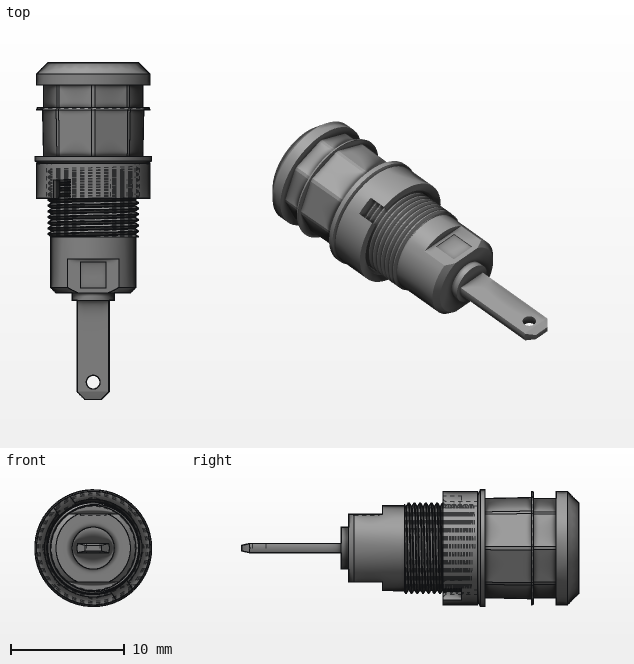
import cadquery as cq
import math


total_length = 29.7
head_length = 2.0
head_chamfer = 1.0
upper_grip_length = 2.0
ring_thickness = 0.18
ring_rim_height = 0.12
lower_grip_length = 4.1
flange_thickness = 0.42
flange_taper_length = 0.25
thread_length = 6.0
barrel_end_y = 9.41
boss_length = 0.65

head_diameter = 10.0
ring_top_diameter = 9.85
ring_recess_diameter = 9.62
flange_diameter = 10.3
flange_seat_diameter = 9.4
barrel_diameter = 7.5
thread_diameter = 8.0
boss_diameter = 3.7

grip_sides = 8
grip_across_flats = 8.2
grip_corner_diameter = 8.75
grip_taper = 0.1

thread_end_y = 14.35
thread_turns = 12
thread_base_width = 0.48
thread_crest_width = 0.05
thread_root_diameter = 7.4
thread_root_overlap = 0.03

barrel_chamfer = 0.48
flat_distance = 6.0
flat_length = 2.97
label_side = 2.25
label_depth = 0.12
label_offset = 1.57

tab_width = 2.85
tab_thickness = 0.83
tip_length = 0.7
tip_width = 1.43
tip_thickness = 0.5
tab_hole_diameter = 1.2
tab_hole_y = 1.55

nut_diameter = head_diameter
nut_length = 3.05
nut_bore_diameter = 8.2
nut_bore_chamfer = 0.2
slot_width = 1.75
slot_depth = 1.63
slot_angle = 124

head_bottom_y = total_length - head_length
ring_top_y = head_bottom_y - upper_grip_length
ring_bottom_y = ring_top_y - ring_thickness
flange_top_y = ring_bottom_y - lower_grip_length
flange_bottom_y = flange_top_y - flange_thickness
nut_top_y = flange_bottom_y - flange_taper_length
boss_end_y = barrel_end_y - boss_length


def disc(diameter, top_y, length):
    """Cylinder about the Y axis, from top_y down by length."""
    return cq.Workplane("XZ", origin=(0, top_y, 0)).circle(diameter / 2).extrude(length)


def octagon(across_flats, top_y, length, taper=0):
    """Octagonal prism about the Y axis with corners on X and Z, narrowing downwards by taper degrees."""
    plane = cq.Workplane("XZ", origin=(0, top_y, 0))
    corner_circle = across_flats / math.cos(math.pi / grip_sides)
    return plane.polygon(grip_sides, corner_circle).extrude(length, taper=taper)


def make_head():
    head = disc(head_diameter, total_length, head_length)
    return head.faces(">Y").chamfer(head_chamfer)


def make_upper_grip():
    prism = octagon(grip_across_flats, head_bottom_y, upper_grip_length)
    return prism.intersect(disc(grip_corner_diameter, head_bottom_y, upper_grip_length))


def make_lower_grip():
    top_y = ring_bottom_y + ring_rim_height
    length = top_y - flange_top_y
    taper = math.degrees(math.atan(grip_taper / length))
    wide_flats = grip_across_flats + 2 * grip_taper
    wide_corners = grip_corner_diameter + 2 * grip_taper
    corners = (
        cq.Workplane("XZ", origin=(0, top_y, 0))
        .circle(wide_corners / 2)
        .extrude(length, taper=taper)
    )
    prism = octagon(wide_flats, top_y, length, taper)
    return prism.intersect(corners)


def make_ring():
    """Thin ring flaring downwards, with a sharp lip around a shallow dished lower face."""
    floor_y = ring_bottom_y + ring_rim_height
    profile = [
        (0, ring_top_y),
        (ring_top_diameter / 2, ring_top_y),
        (head_diameter / 2, ring_bottom_y),
        (ring_recess_diameter / 2, floor_y),
        (0, floor_y),
    ]
    return cq.Workplane("XY").polyline(profile).close().revolve(360, (0, 0, 0), (0, 1, 0))


def make_flange():
    profile = [
        (0, flange_top_y),
        (flange_diameter / 2, flange_top_y),
        (flange_diameter / 2, flange_bottom_y),
        (flange_seat_diameter / 2, nut_top_y),
        (0, nut_top_y),
    ]
    return cq.Workplane("XY").polyline(profile).close().revolve(360, (0, 0, 0), (0, 1, 0))


def make_barrel():
    """Plain barrel with a chamfered end, two flats and a square recess on the upper flat."""
    barrel = disc(barrel_diameter, thread_end_y, thread_end_y - barrel_end_y)
    barrel = barrel.faces("<Y").chamfer(barrel_chamfer)
    flat_depth = (barrel_diameter - flat_distance) / 2
    for side in (-1, 1):
        cutter = cq.Workplane("XY").box(barrel_diameter, flat_length, flat_depth).translate(
            (0, barrel_end_y + flat_length / 2, side * (flat_distance + flat_depth) / 2)
        )
        barrel = barrel.cut(cutter)
    label = (
        cq.Workplane("XY", origin=(0, barrel_end_y + label_offset, flat_distance / 2))
        .rect(label_side, label_side)
        .extrude(-label_depth)
    )
    return barrel.cut(label)


def make_threaded_shank():
    """Shank with a right-handed ridge that runs out at the barrel shoulder."""
    root = thread_root_diameter / 2 - thread_root_overlap
    crest = thread_diameter / 2
    pitch = thread_length / thread_turns
    path = cq.Wire.makeHelix(pitch, thread_length + pitch, root)
    ridge = (
        cq.Workplane("XZ")
        .polyline([
            (root, -thread_base_width / 2),
            (crest, -thread_crest_width / 2),
            (crest, thread_crest_width / 2),
            (root, thread_base_width / 2),
        ])
        .close()
        .sweep(cq.Workplane(obj=path), isFrenet=True)
    )
    ridge = ridge.rotate((0, 0, 0), (1, 0, 0), -90).translate((0, thread_end_y - pitch, 0))
    shank_length = nut_top_y - thread_end_y
    ridge = ridge.intersect(disc(flange_diameter, nut_top_y, shank_length))
    return disc(thread_root_diameter, nut_top_y, shank_length).union(ridge)


def make_tab():
    """Flat tab with rounded side edges and a tip that narrows in width and thickness."""
    outline = [
        (-tab_width / 2, boss_end_y),
        (-tab_width / 2, tip_length),
        (-tip_width / 2, 0),
        (tip_width / 2, 0),
        (tab_width / 2, tip_length),
        (tab_width / 2, boss_end_y),
    ]
    side_profile = [
        (boss_end_y, -tab_thickness / 2),
        (tip_length, -tab_thickness / 2),
        (0, -tip_thickness / 2),
        (0, tip_thickness / 2),
        (tip_length, tab_thickness / 2),
        (boss_end_y, tab_thickness / 2),
    ]
    tab = cq.Workplane("XY").polyline(outline).close().extrude(tab_thickness, both=True)
    tab = tab.intersect(cq.Workplane("YZ").polyline(side_profile).close().extrude(tab_width, both=True))
    tab = tab.intersect(disc(tab_width, boss_end_y, boss_end_y))
    hole = (
        cq.Workplane("XY", origin=(0, tab_hole_y, 0))
        .circle(tab_hole_diameter / 2)
        .extrude(tab_thickness, both=True)
    )
    return tab.cut(hole)


def make_socket():
    boss = disc(boss_diameter, barrel_end_y, boss_length)
    socket = make_barrel().union(make_threaded_shank())
    grip_parts = (make_flange(), make_lower_grip(), make_ring(), make_upper_grip(), make_head())
    for section in (*grip_parts, boss, make_tab()):
        socket = socket.union(section)
    return socket


def make_nut():
    """Ring nut against the flange, with two opposite wrench slots in its lower face."""
    nut = disc(nut_diameter, nut_top_y, nut_length)
    nut = nut.cut(disc(nut_bore_diameter, nut_top_y, nut_length))
    nut = nut.faces("<Y").edges("%CIRCLE").edges(cq.selectors.RadiusNthSelector(0)).chamfer(nut_bore_chamfer)
    slots = (
        cq.Workplane("XY")
        .box(nut_diameter + slot_width, slot_depth, slot_width)
        .translate((0, nut_top_y - nut_length + slot_depth / 2, 0))
        .rotate((0, 0, 0), (0, 1, 0), -slot_angle)
    )
    return nut.cut(slots)


socket = make_socket()
nut = make_nut()

result = cq.Compound.makeCompound([socket.solids().val(), nut.solids().val()])